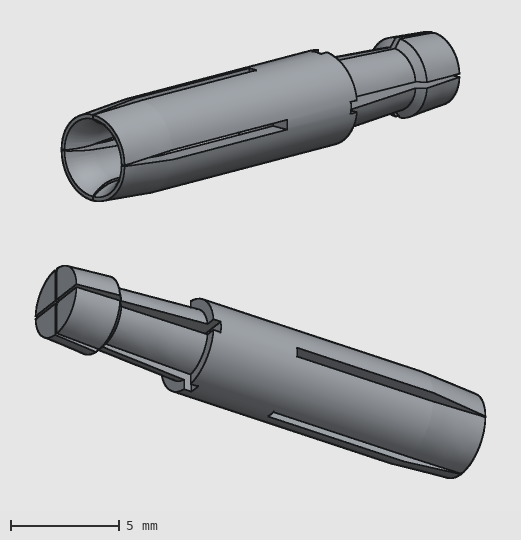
import cadquery as cq
import math

total_length = 22.35
mouth_taper_length = 3.0
shoulder_y = 15.1
neck_end_y = 19.71
head_y = 20.05

body_diameter = 4.5
body_radius = body_diameter / 2
mouth_radius = 2.05
neck_base_radius = 1.75
neck_end_radius = 1.5
head_radius = 1.9
tip_radius = 1.75

socket_mouth_radius = 1.85
socket_radius = 1.35
socket_mouth_depth = 1.5
socket_depth = 10.5
drill_point_angle = 118.0

front_slot_width = 0.47
front_slot_mouth_width = 0.05
front_slot_length = socket_depth
rear_slot_base_width = 0.58
rear_slot_tip_width = 0.15
rear_slot_base_y = 14.7


def revolve_profile(points):
    """Revolve a closed (radius, y) outline about the Y axis."""
    return cq.Workplane("XY").polyline(points).close().revolve(360, (0, 0, 0), (0, 1, 0))


def crossed_slots(stations):
    """Make a cutter for two slots crossing on the axis, outlined by (y, width) stations."""
    right_side = [(width / 2, y) for y, width in stations]
    left_side = [(-x, y) for x, y in reversed(right_side)]
    slot = cq.Workplane("XY").polyline(right_side + left_side).close().extrude(body_diameter, both=True)
    return slot.union(slot.rotate((0, 0, 0), (0, 1, 0), 90))


body = revolve_profile([
    (0, 0),
    (mouth_radius, 0),
    (body_radius, mouth_taper_length),
    (body_radius, shoulder_y),
    (neck_base_radius, shoulder_y),
    (neck_end_radius, neck_end_y),
    (head_radius, head_y),
    (tip_radius, total_length),
    (0, total_length),
])

drill_point_length = socket_radius / math.tan(math.radians(drill_point_angle / 2))

mouth_step = socket_mouth_radius - socket_radius
mouth_arc_radius = (mouth_step**2 + socket_mouth_depth**2) / (2 * mouth_step)
mouth_arc_half_angle = math.asin(socket_mouth_depth / mouth_arc_radius) / 2
mouth_arc_middle = (
    socket_radius + mouth_arc_radius * (1 - math.cos(mouth_arc_half_angle)),
    socket_mouth_depth - mouth_arc_radius * math.sin(mouth_arc_half_angle),
)
socket = (
    cq.Workplane("XY")
    .lineTo(socket_mouth_radius, 0)
    .threePointArc(mouth_arc_middle, (socket_radius, socket_mouth_depth))
    .lineTo(socket_radius, socket_depth)
    .lineTo(0, socket_depth + drill_point_length)
    .close()
    .revolve(360, (0, 0, 0), (0, 1, 0))
)

front_slots = crossed_slots([
    (0, front_slot_mouth_width),
    (mouth_taper_length, front_slot_width),
    (front_slot_length, front_slot_width),
])

rear_slots = crossed_slots([
    (rear_slot_base_y, rear_slot_base_width),
    (total_length, rear_slot_tip_width),
])

result = body.cut(socket).cut(front_slots).cut(rear_slots)